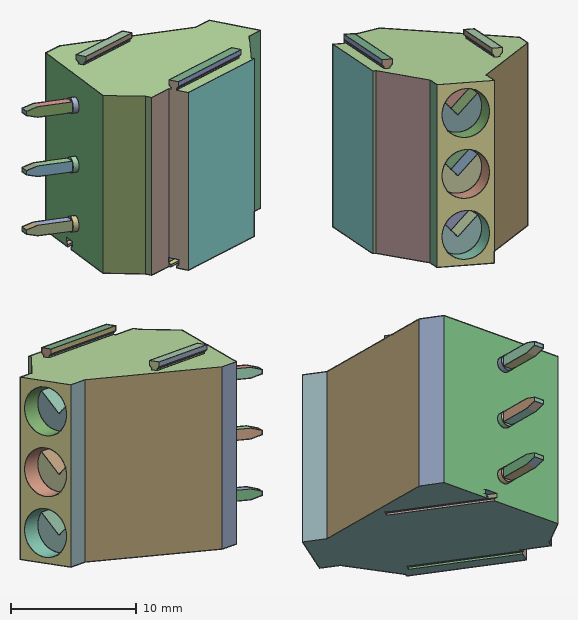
import cadquery as cq
import math


pole_count = 3
pitch = 5.0
body_height = pole_count * pitch
tilt = 35.0

left_x = -7.29
base_left_x = -6.12
base_right_x = 5.53
chamfer_top_y = 1.71
entry_top_y = 18.0
entry_left_x = -8.47
entry_width = 4.83
entry_right_depth = 1.73
block_length = 10.0
block_thickness = 1.83
block_shoulder = 0.29
block_right_x = 7.53
block_right_y = 6.56
lip_length = 2.6
lip_depth = 0.6

bore_diameter = 4.0
bore_depth = 1.95
vee_apex_drop = 0.57
vee_depth = 2.0

collar_diameter = 1.3
collar_length = 0.5
pin_width = 0.9
pin_length = 4.5
tip_length = 1.0
tip_height = 0.35

rail_width = 0.9
rail_neck_width = 0.5
rail_neck_height = 0.13
rail_flare_height = 0.2
rail_head_height = 0.41
slot_width = 0.96
slot_neck_width = 0.54
slot_neck_height = 0.18
slot_flare_height = 0.2
slot_head_height = 0.36
block_rail_length = 9.5
small_rail_length = 7.0
small_rail_x = -6.34
small_rail_y = 7.18

cos_tilt = math.cos(math.radians(tilt))
sin_tilt = math.sin(math.radians(tilt))


def offset(point, across, along):
    """Move a point across (up and right) and along (down and right) the tilted directions."""
    x = point[0] + across * cos_tilt + along * sin_tilt
    y = point[1] + across * sin_tilt - along * cos_tilt
    return (x, y)


entry_left = (entry_left_x, entry_top_y - entry_width * sin_tilt)
entry_left_depth = (left_x - entry_left_x) / sin_tilt
entry_right = offset(entry_left, entry_width, 0)
block_bottom = (block_right_x, block_right_y)
block_top = offset(block_bottom, 0, -block_length)
block_inner = offset(block_bottom, -block_thickness, 0)
lip_corner = offset(block_inner, 0, lip_length)


def make_housing():
    outline = [
        (base_left_x, 0),
        (left_x, chamfer_top_y),
        offset(entry_left, 0, entry_left_depth),
        entry_left,
        entry_right,
        offset(entry_right, 0, entry_right_depth),
        offset(block_top, -block_shoulder, 0),
        block_top,
        block_bottom,
        block_inner,
        lip_corner,
        offset(lip_corner, -lip_depth, 0),
        (base_right_x, 0),
    ]
    return cq.Workplane("XY").polyline(outline).close().extrude(body_height)


def make_wire_entry(z):
    """Round bore with a deeper pocket above a right-angled vee in its floor."""
    centre = offset(entry_left, entry_width / 2, 0)
    face = cq.Plane(
        origin=(centre[0], centre[1], z),
        xDir=(-cos_tilt, -sin_tilt, 0),
        normal=(-sin_tilt, cos_tilt, 0),
    )
    bore = cq.Workplane(face).circle(bore_diameter / 2).extrude(-bore_depth)
    full_depth = bore_depth + vee_depth
    pocket = cq.Workplane(face).circle(bore_diameter / 2).extrude(-full_depth)
    vee = (
        cq.Workplane(face)
        .moveTo(0, -vee_apex_drop)
        .lineTo(bore_diameter, bore_diameter - vee_apex_drop)
        .lineTo(-bore_diameter, bore_diameter - vee_apex_drop)
        .close()
        .extrude(-full_depth)
    )
    return bore.union(pocket.intersect(vee))


def make_pin(z):
    """Round collar and square pin whose tip tapers in Z only."""
    collar = (
        cq.Workplane("XZ", origin=(0, 0, z))
        .circle(collar_diameter / 2)
        .extrude(collar_length)
    )
    side_profile = [
        (0, -pin_width / 2),
        (0, pin_width / 2),
        (tip_length - pin_length, pin_width / 2),
        (-pin_length, tip_height / 2),
        (-pin_length, -tip_height / 2),
        (tip_length - pin_length, -pin_width / 2),
    ]
    blade = (
        cq.Workplane("YZ", origin=(0, 0, z))
        .polyline(side_profile)
        .close()
        .extrude(pin_width / 2, both=True)
    )
    return collar.union(blade)


def make_dovetail(start, z, length, width, neck_width, neck, flare, head):
    """Dovetail bar on level z, running down and right from its start point."""
    section = cq.Plane(
        origin=(start[0], start[1], z),
        xDir=(cos_tilt, sin_tilt, 0),
        normal=(sin_tilt, -cos_tilt, 0),
    )
    profile = [
        (-neck_width / 2, 0),
        (-neck_width / 2, neck),
        (-width / 2, neck + flare),
        (-width / 2, neck + flare + head),
        (width / 2, neck + flare + head),
        (width / 2, neck + flare),
        (neck_width / 2, neck),
        (neck_width / 2, 0),
    ]
    return cq.Workplane(section).polyline(profile).close().extrude(length)


def make_rail(start, length):
    return make_dovetail(
        start, body_height, length, rail_width, rail_neck_width,
        rail_neck_height, rail_flare_height, rail_head_height,
    )


def make_slot(start, length):
    return make_dovetail(
        start, 0, length, slot_width, slot_neck_width,
        slot_neck_height, slot_flare_height, slot_head_height,
    )


block_rail_start = offset(block_inner, rail_width / 2, -block_rail_length)
small_rail_start = (small_rail_x, small_rail_y)

small_slot_length = small_rail_y / cos_tilt + slot_width

result = make_housing()
for pole in range(pole_count):
    pole_z = (pole + 0.5) * pitch
    result = result.cut(make_wire_entry(pole_z))
    result = result.union(make_pin(pole_z))

result = result.cut(make_slot(block_rail_start, block_rail_length))
result = result.cut(make_slot(small_rail_start, small_slot_length))
result = result.union(make_rail(block_rail_start, block_rail_length))
result = result.union(make_rail(small_rail_start, small_rail_length))